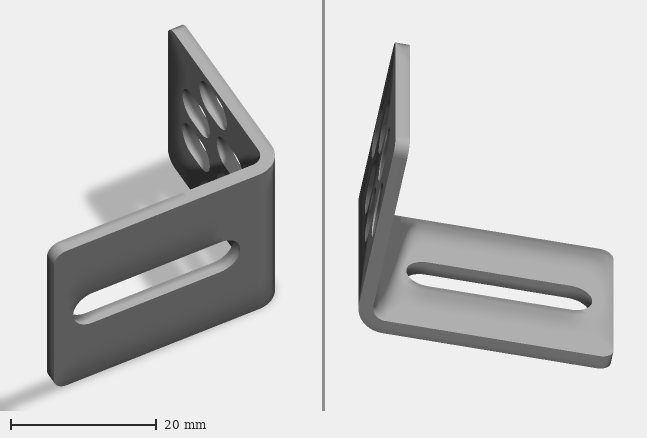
import cadquery as cq

width = 30.5
depth = 36.0
height = 27.5

thickness = 2.0
inner_bend_radius = 2.0
outer_bend_radius = inner_bend_radius + thickness
corner_radius = 2.0

small_slot_length = 8.0
small_slot_width = 5.33
small_slot_center_x = 13.25
column_offset = 5.0
inner_row_offset = 3.5
outer_row_offset = 10.0

long_slot_length = 26.0
long_slot_width = 6.1
long_slot_end_margin = 3.0


def make_bent_sheet():
    """L-shaped sheet: back plate along X, side plate along Y, bend at their meeting."""
    profile = (
        cq.Workplane("XY")
        .moveTo(0, depth)
        .lineTo(width, depth)
        .lineTo(width, 0)
        .lineTo(width - thickness, 0)
        .lineTo(width - thickness, depth - thickness)
        .lineTo(0, depth - thickness)
        .close()
    )
    sheet = profile.extrude(height)
    outer_edge = cq.selectors.NearestToPointSelector((width, depth, height / 2))
    inner_edge = cq.selectors.NearestToPointSelector(
        (width - thickness, depth - thickness, height / 2)
    )
    sheet = sheet.edges("|Z").edges(outer_edge).fillet(outer_bend_radius)
    return sheet.edges("|Z").edges(inner_edge).fillet(inner_bend_radius)


def round_free_corners(sheet):
    """Round the two corners at the free end of each plate."""
    sheet = sheet.faces("<X").edges("|Y").fillet(corner_radius)
    return sheet.faces("<Y").edges("|X").fillet(corner_radius)


def make_small_slots():
    """Cutters for a pair of slots on each inner row and one slot on each outer row."""
    centers = []
    for side in (-1, 1):
        centers.append((small_slot_center_x, height / 2 + side * outer_row_offset))
        for column in (-1, 1):
            x = small_slot_center_x + column * column_offset
            centers.append((x, height / 2 + side * inner_row_offset))
    return (
        cq.Workplane("XZ", origin=(0, depth, 0))
        .pushPoints(centers)
        .slot2D(small_slot_length, small_slot_width)
        .extrude(thickness)
    )


def make_long_slot():
    """Cutter for the long slot, running along Y at mid height."""
    center_y = long_slot_end_margin + long_slot_length / 2
    return (
        cq.Workplane("YZ", origin=(width - thickness, 0, 0))
        .center(center_y, height / 2)
        .slot2D(long_slot_length, long_slot_width)
        .extrude(thickness)
    )


bracket = round_free_corners(make_bent_sheet())
result = bracket.cut(make_small_slots()).cut(make_long_slot())